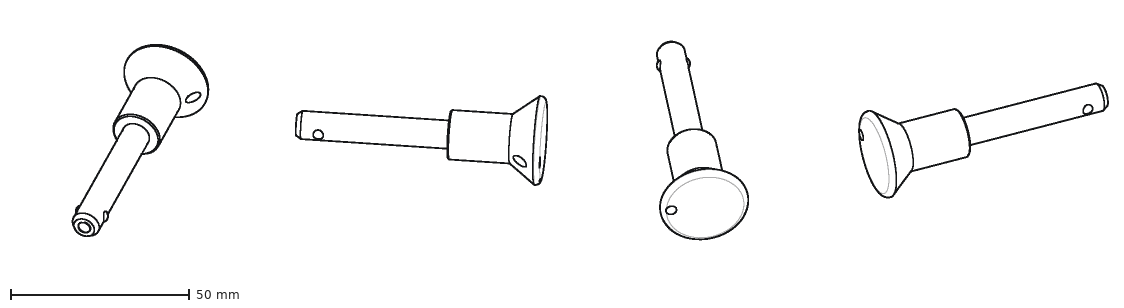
import cadquery as cq

total_length = 69.5
sleeve_start = 43.0
knob_start = 60.45

shank_diameter = 8.0
tip_diameter = 6.1
tip_taper_length = 1.45

spindle_diameter = 3.55
spindle_bore_diameter = 3.6
spindle_gap_depth = 0.35

sleeve_diameter = 14.0
sleeve_chamfer = 0.4

knob_diameter = 25.0
rim_radius = 1.5
rim_land = 0.2

ball_diameter = 3.55
ball_span = 9.45
ball_position = 6.45

lanyard_hole_diameter = 3.0
lanyard_hole_offset = 9.5
cut_clearance = 0.7


def make_body():
    """Revolve the half outline of shank, sleeve and knob about the Y axis."""
    shank_radius = shank_diameter / 2
    sleeve_radius = sleeve_diameter / 2
    knob_radius = knob_diameter / 2
    rim_start = total_length - rim_radius
    outline = (
        cq.Workplane("XY")
        .moveTo(0, 0)
        .lineTo(tip_diameter / 2, 0)
        .lineTo(shank_radius, tip_taper_length)
        .lineTo(shank_radius, sleeve_start)
        .lineTo(sleeve_radius - sleeve_chamfer, sleeve_start)
        .lineTo(sleeve_radius, sleeve_start + sleeve_chamfer)
        .lineTo(sleeve_radius, knob_start)
        .lineTo(knob_radius, rim_start - rim_land)
        .lineTo(knob_radius, rim_start)
        .radiusArc((knob_radius - rim_radius, total_length), -rim_radius)
        .lineTo(0, total_length)
        .close()
    )
    return outline.revolve(360, (0, 0, 0), (0, 1, 0))


def cylinder_along_y(diameter, x, y_start, y_end):
    """Return a cylinder parallel to Y, centred at the given X on the Z = 0 plane."""
    base = cq.Vector(x, y_start, 0)
    direction = cq.Vector(0, 1, 0)
    return cq.Workplane(cq.Solid.makeCylinder(diameter / 2, y_end - y_start, base, direction))


def make_ball(side):
    """Return one locking ball; side is -1 or +1 along X."""
    centre_x = side * (ball_span - ball_diameter) / 2
    ball = cq.Workplane("XY").sphere(ball_diameter / 2, direct=(side, 0, 0))
    return ball.translate((centre_x, ball_position, 0))


spindle_bore = cylinder_along_y(spindle_bore_diameter, 0, 0, spindle_gap_depth)
spindle_end = cylinder_along_y(spindle_diameter, 0, 0, spindle_gap_depth)
result = make_body().cut(spindle_bore.cut(spindle_end))

for side in (-1, 1):
    result = result.union(make_ball(side))

lanyard_hole = cylinder_along_y(
    lanyard_hole_diameter,
    lanyard_hole_offset,
    knob_start - cut_clearance,
    total_length + cut_clearance,
)
result = result.cut(lanyard_hole)